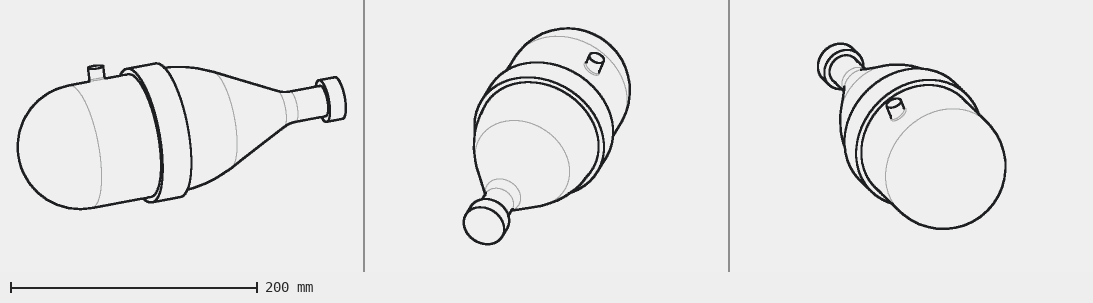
import cadquery as cq
import math

total_length = 274.1
body_radius = 50.7
band_diameter = 110.5
band_start = 102.0
band_end = 126.7
shoulder_radius = 102.8
neck_radius = 12.5
neck_start = 234.5
neck_blend_radius = 25.0
flange_radius = 17.3
flange_length = 13.7

stub_radius = 6.3
stub_lean = 20.0
stub_top_x = -33.0
stub_top_z = 51.5
stub_y = 76.2
stub_length = 22.0
stub_blend = 1.0
wall_tolerance = 0.03


def cone_angle():
    """Slope of the straight taper tangent to the shoulder and neck arcs."""
    along = neck_start - band_end
    across = (neck_radius + neck_blend_radius) - (body_radius - shoulder_radius)
    spacing = math.hypot(along, across)
    swing = math.acos((shoulder_radius + neck_blend_radius) / spacing)
    return math.pi / 2 - math.atan2(across, along) - swing


def shoulder_point(angle):
    radius = body_radius - shoulder_radius * (1 - math.cos(angle))
    return (radius, band_end + shoulder_radius * math.sin(angle))


def neck_blend_point(angle):
    radius = neck_radius + neck_blend_radius * (1 - math.cos(angle))
    return (radius, neck_start - neck_blend_radius * math.sin(angle))


def make_body():
    taper = cone_angle()
    dome_mid = body_radius * math.sqrt(0.5)
    return (
        cq.Workplane("XY")
        .moveTo(0, 0)
        .threePointArc((dome_mid, body_radius - dome_mid), (body_radius, body_radius))
        .lineTo(body_radius, band_end)
        .threePointArc(shoulder_point(taper / 2), shoulder_point(taper))
        .lineTo(*neck_blend_point(taper))
        .threePointArc(neck_blend_point(taper / 2), (neck_radius, neck_start))
        .lineTo(neck_radius, total_length - flange_length)
        .lineTo(flange_radius, total_length - flange_length)
        .lineTo(flange_radius, total_length)
        .lineTo(0, total_length)
        .close()
        .revolve(360, (0, 0, 0), (0, 1, 0))
    )


def make_band():
    return (
        cq.Workplane("XZ", origin=(0, band_end, 0))
        .circle(band_diameter / 2)
        .extrude(band_end - band_start)
    )


def make_stub():
    lean = math.radians(stub_lean)
    inward = cq.Vector(math.sin(lean), 0, -math.cos(lean))
    top = cq.Vector(stub_top_x, stub_y, stub_top_z)
    return cq.Workplane(cq.Solid.makeCylinder(stub_radius, stub_length, top, inward))


def in_stub_joint(edge):
    """True for the edges where the stub meets the cylindrical body wall."""
    box = edge.BoundingBox()
    near_stub = abs(edge.Center().y - stub_y) < stub_radius
    small = box.ylen < body_radius
    point = edge.positionAt(0.5)
    on_wall = abs(math.hypot(point.x, point.z) - body_radius) < wall_tolerance
    return near_stub and small and on_wall and edge.geomType() != "LINE"


body_with_stub = make_body().union(make_stub())
joint_edges = [edge for edge in body_with_stub.edges().vals() if in_stub_joint(edge)]
blended = body_with_stub.newObject(joint_edges).fillet(stub_blend)
result = blended.union(make_band())